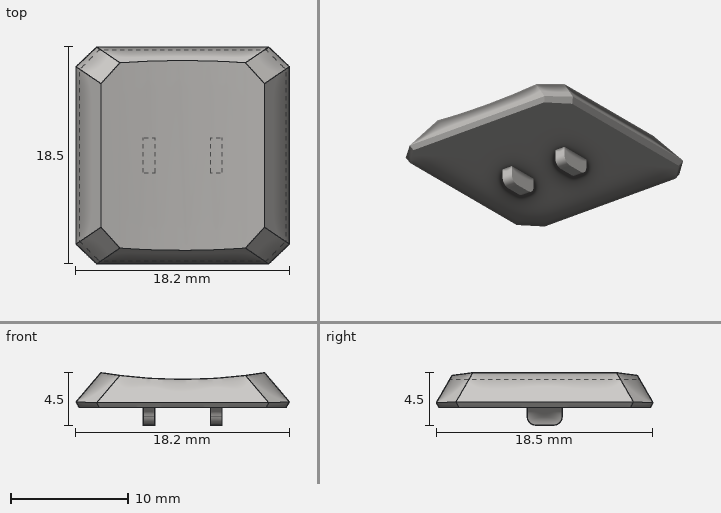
import cadquery as cq
import math

rim_half_x = 9.1
rim_half_y = 9.25
rim_z_x = 0.5
rim_z_y = 0.43
rim_corner_y = 7.57

under_angle = 30.0
upper_angle_x = 40.4
upper_angle_y = 30.0
corner_flare = 1.1

crest_z = 3.0
dish_z = 2.42

tab_spacing = 5.74
tab_thickness = 1.0
tab_width = 3.0
tab_drop = 1.5
tab_radius = 0.74
tab_overlap = 0.37

under_slope = math.tan(math.radians(under_angle))
upper_slope_x = math.tan(math.radians(upper_angle_x))
upper_slope_y = math.tan(math.radians(upper_angle_y))
loft_top = crest_z + 0.18

rim_corner_x = rim_half_x + rim_corner_y - rim_half_y - corner_flare * (rim_z_x - rim_z_y)


def octagon(half_x, half_y, corner_x, corner_y):
    """Points of a rectangle with its four corners cut off."""
    return [
        (half_x, -corner_y), (half_x, corner_y),
        (corner_x, half_y), (-corner_x, half_y),
        (-half_x, corner_y), (-half_x, -corner_y),
        (-corner_x, -half_y), (corner_x, -half_y),
    ]


def under_section(z):
    """Flaring outline of the faces below the rim."""
    half_x = rim_half_x + under_slope * (z - rim_z_x)
    half_y = rim_half_y + under_slope * (z - rim_z_y)
    corner_sum = rim_half_x + rim_corner_y + corner_flare * (z - rim_z_x)
    return octagon(half_x, half_y, corner_sum - half_y, corner_sum - half_x)


def upper_section(z):
    """Narrowing outline of the faces above the rim."""
    above_x = z - rim_z_x
    above_y = z - rim_z_y
    return octagon(
        rim_half_x - upper_slope_x * above_x,
        rim_half_y - upper_slope_y * above_y,
        rim_corner_x - upper_slope_x * above_y,
        rim_corner_y - upper_slope_y * above_x,
    )


def loft_sections(section):
    return (
        cq.Workplane("XY").polyline(section(0)).close()
        .workplane(offset=loft_top).polyline(section(loft_top)).close()
        .loft(ruled=True)
    )


def dish_cutter():
    """Large cylinder along Y that hollows the top."""
    crest_half_x = rim_half_x - upper_slope_x * (crest_z - rim_z_x)
    sag = crest_z - dish_z
    radius = (crest_half_x ** 2 + sag ** 2) / (2 * sag)
    return (
        cq.Workplane("XZ").center(0, dish_z + radius).circle(radius)
        .extrude(2 * rim_half_y, both=True)
    )


def tab(center_x):
    return (
        cq.Workplane("XY").workplane(offset=-tab_drop).center(center_x, 0)
        .rect(tab_thickness, tab_width).extrude(tab_drop + tab_overlap)
        .edges("|X and <Z").fillet(tab_radius)
    )


result = loft_sections(under_section).intersect(loft_sections(upper_section)).cut(dish_cutter())
for side in (-1, 1):
    result = result.union(tab(side * tab_spacing / 2))